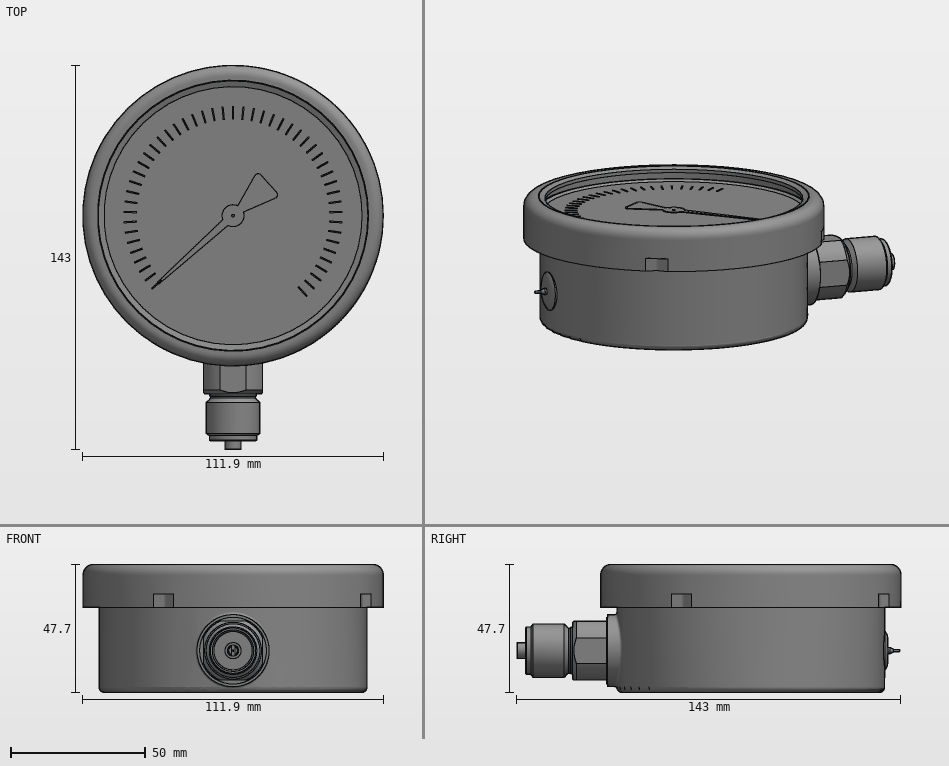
import cadquery as cq
import math


total_height = 47.7
bezel_height = 16.0
dial_depth = 5.6
dial_thickness = 1.5
dial_top = total_height - dial_depth
dial_bottom = dial_top - dial_thickness
bezel_bottom = total_height - bezel_height

case_radius = 49.9
case_fillet = 2.0
axis_height = 15.6
boss_radius = 13.5
boss_fillet = 0.9
boss_end = 53.3

bezel_radius = 55.96
bezel_fillet = 4.0
mouth_radius = 50.5
notch_count = 4
notch_first_angle = 62.4
notch_width = 8.3
notch_height = 4.9
notch_floor_width = 0.6
notch_floor_radius = 54.6

ring_top_radius = 50.2
window_radius = 48.0
ring_cone_depth = 0.7
ring_height = 2.0

rim_foot_radius = 48.6
rim_top_radius = 49.9
rim_height = 0.7

tick_count = 50
tick_pitch_angle = 5.5
ticks_before_top = 25
tick_inner_radius = 36.0
tick_outer_radius = 40.6
tick_width = 0.5
tick_height = 0.1

pointer_angle = 90 + (tick_count - 1 - ticks_before_top) * tick_pitch_angle
pointer_thickness = 0.3
pointer_bottom = dial_top + tick_height
hub_radius = 4.07
pivot_hole_diameter = 0.99
needle_length = 37.5
needle_root_half_width = 1.6
needle_tip_half_width = 0.5
tail_length = 17.9
tail_root_half_width = 0.3
tail_end_half_width = 6.3
tail_corner_radius = 1.5

socket_depth = 4.3
socket_radius = 8.7
collar_radius = 12.5
collar_end = 53.7
wrench_radius = 12.0
wrench_flats = 22.0
wrench_end = 66.3
wrench_chamfer = 1.5
neck_radius = 8.7
neck_end = 67.0
groove_radius = 8.5
groove_start = 67.3
groove_end = 67.9
thread_radius = 10.0
runout_start = 68.3
thread_start = 69.5
thread_end = 81.0
nose_radius = 8.9
nose_start = 81.9
nose_end = 83.9
nose_chamfer = 0.5
face_rim_radius = 7.7
face_recess_radius = 7.1
face_recess_depth = 0.6
tip_radius = 3.0
connector_end = 143 - bezel_radius

screw_radius = 2.07
screw_length = 4.3
screw_chamfer = 0.5
slot_width = 1.3
slot_depth = 0.6
restrictor_bore = 0.5

plug_stem_radius = 5.5
plug_stem_depth = 2.1
plug_floor = case_radius - plug_stem_depth
plug_cap_radius = 7.22
plug_cap_edge = 50.0
plug_face_radius = 4.3
plug_face = 51.0
plug_dome_mid_radius = 6.3
plug_dome_mid = 50.6
nipple_base_radius = 1.22
nipple_base_end = 51.7
nipple_radius = 0.5
nipple_flare_end = 53.2
nipple_end = 55.5


def side_plane(direction):
    """Sketch plane containing the side axis: local x is the radius, local y runs along direction * Y."""
    return cq.Plane(origin=(0, 0, axis_height), xDir=(1, 0, 0), normal=(0, 0, direction))


def revolve_side(profile):
    """Turn a closed (radius, distance) profile about the side axis."""
    return profile.close().revolve(360, (0, 0), (0, 1))


def side_cylinder(direction, radius, start, end):
    """Cylinder on the side axis between two distances from the dial axis."""
    profile = cq.Workplane(side_plane(direction)).moveTo(0, start)
    return revolve_side(profile.lineTo(radius, start).lineTo(radius, end).lineTo(0, end))


CONNECTOR_SIDE = -1
PLUG_SIDE = 1


def make_case():
    """Solid case with a filleted boss for the connector and blind sockets for connector and plug."""
    body = cq.Workplane("XY").circle(case_radius).extrude(dial_bottom)
    body = body.faces("<Z").edges().fillet(case_fillet)
    boss = side_cylinder(CONNECTOR_SIDE, boss_radius, 0, boss_end)
    body = body.union(boss)
    boss_seam = cq.selectors.BoxSelector(
        (-case_radius, -case_radius - 0.1, 0.1), (case_radius, -case_radius / 2, dial_bottom - 0.1)
    )
    body = body.edges(boss_seam).edges("not %CIRCLE").edges("not %LINE").fillet(boss_fillet)
    socket = side_cylinder(CONNECTOR_SIDE, socket_radius, boss_end - socket_depth, boss_end)
    plug_hole = side_cylinder(PLUG_SIDE, plug_stem_radius, plug_floor, case_radius)
    return body.cut(socket).cut(plug_hole)


def make_bezel():
    """Ring around the case top with a rounded rim, a stepped bore and V notches in its lower edge."""
    bezel = cq.Workplane("XY").workplane(offset=bezel_bottom).circle(bezel_radius).extrude(bezel_height)
    bezel = bezel.faces(">Z").edges().fillet(bezel_fillet)
    case_bore = cq.Workplane("XY").workplane(offset=bezel_bottom).circle(case_radius).extrude(bezel_height)
    mouth = cq.Workplane("XY").workplane(offset=dial_bottom).circle(mouth_radius).extrude(bezel_height)
    bezel = bezel.cut(case_bore).cut(mouth)

    rim_flat = math.sqrt(bezel_radius**2 - (notch_width / 2) ** 2)
    notch = (
        cq.Workplane("XY")
        .workplane(offset=bezel_bottom)
        .polyline(
            [
                (notch_floor_radius, -notch_floor_width / 2),
                (rim_flat, -notch_width / 2),
                (bezel_radius + 1.5, -notch_width / 2),
                (bezel_radius + 1.5, notch_width / 2),
                (rim_flat, notch_width / 2),
                (notch_floor_radius, notch_floor_width / 2),
            ]
        )
        .close()
        .extrude(notch_height)
    )
    for index in range(notch_count):
        angle = notch_first_angle + index * 360 / notch_count
        bezel = bezel.cut(notch.rotate((0, 0, 0), (0, 0, 1), angle))
    return bezel


def make_retaining_ring():
    """Ring flush with the bezel rim, sloping down to the window."""
    return (
        cq.Workplane("XZ")
        .moveTo(mouth_radius, total_height)
        .lineTo(ring_top_radius, total_height)
        .lineTo(window_radius, total_height - ring_cone_depth)
        .lineTo(window_radius, total_height - ring_height)
        .lineTo(mouth_radius, total_height - ring_height)
        .close()
        .revolve(360, (0, 0), (0, 1))
    )


def make_dial():
    """Round dial plate with a sloping raised rim and raised graduation strokes."""
    dial = (
        cq.Workplane("XZ")
        .moveTo(0, dial_bottom)
        .lineTo(mouth_radius, dial_bottom)
        .lineTo(mouth_radius, dial_top + rim_height)
        .lineTo(rim_top_radius, dial_top + rim_height)
        .lineTo(rim_foot_radius, dial_top)
        .lineTo(0, dial_top)
        .close()
        .revolve(360, (0, 0), (0, 1))
    )
    tick_length = tick_outer_radius - tick_inner_radius
    tick = (
        cq.Workplane("XY")
        .workplane(offset=dial_top)
        .center((tick_inner_radius + tick_outer_radius) / 2, 0)
        .rect(tick_length, tick_width)
        .extrude(tick_height)
    )
    for index in range(tick_count):
        angle = 90 + (index - ticks_before_top) * tick_pitch_angle
        dial = dial.union(tick.rotate((0, 0, 0), (0, 0, 1), angle))
    return dial


def make_pointer():
    """Flat pointer resting on the strokes: a hub, a tapering needle along +X and a flared tail."""
    plate = cq.Workplane("XY").workplane(offset=pointer_bottom)
    needle = (
        plate.polyline(
            [
                (0, -needle_root_half_width),
                (needle_length, -needle_tip_half_width),
                (needle_length, needle_tip_half_width),
                (0, needle_root_half_width),
            ]
        )
        .close()
        .extrude(pointer_thickness)
    )
    tail = (
        plate.polyline(
            [
                (0, -tail_root_half_width),
                (-tail_length, -tail_end_half_width),
                (-tail_length, tail_end_half_width),
                (0, tail_root_half_width),
            ]
        )
        .close()
        .extrude(pointer_thickness)
        .edges("|Z and <X")
        .fillet(tail_corner_radius)
    )
    hub = plate.circle(hub_radius).extrude(pointer_thickness)
    pivot_hole = plate.circle(pivot_hole_diameter / 2).extrude(pointer_thickness)
    pointer = hub.union(needle).union(tail).cut(pivot_hole)
    return pointer.rotate((0, 0, 0), (0, 0, 1), pointer_angle)


def make_connector():
    """Turned connector with wrench flats, an undercut before the thread and a bored tip."""
    chamfered_wrench_radius = wrench_radius - wrench_chamfer
    shank = revolve_side(
        cq.Workplane(side_plane(CONNECTOR_SIDE))
        .moveTo(0, boss_end - socket_depth)
        .lineTo(socket_radius, boss_end - socket_depth)
        .lineTo(socket_radius, wrench_end)
        .lineTo(neck_radius, neck_end)
        .lineTo(groove_radius, groove_start)
        .lineTo(groove_radius, groove_end)
        .lineTo(neck_radius, runout_start)
        .lineTo(thread_radius, thread_start)
        .lineTo(thread_radius, thread_end)
        .lineTo(nose_radius, nose_start)
        .lineTo(nose_radius, nose_end - nose_chamfer)
        .lineTo(nose_radius - nose_chamfer, nose_end)
        .lineTo(face_rim_radius, nose_end)
        .lineTo(face_recess_radius, nose_end - face_recess_depth)
        .lineTo(tip_radius, nose_end - face_recess_depth)
        .lineTo(tip_radius, connector_end)
        .lineTo(0, connector_end)
    )
    collar = side_cylinder(CONNECTOR_SIDE, collar_radius, boss_end, collar_end)
    wrench = revolve_side(
        cq.Workplane(side_plane(CONNECTOR_SIDE))
        .moveTo(0, collar_end)
        .lineTo(wrench_radius, collar_end)
        .lineTo(wrench_radius, wrench_end - wrench_chamfer)
        .lineTo(chamfered_wrench_radius, wrench_end)
        .lineTo(0, wrench_end)
    )
    flats = cq.Workplane("XZ", origin=(0, 0, axis_height)).rect(wrench_flats, wrench_flats).extrude(wrench_end)
    connector = shank.union(collar).union(wrench.intersect(flats))
    screw_hole = side_cylinder(CONNECTOR_SIDE, screw_radius, connector_end - screw_length, connector_end)
    return connector.cut(screw_hole)


def make_screw():
    """Restrictor screw flush with the connector tip, with an upright slot and a fine bore."""
    screw_start = connector_end - screw_length
    screw = revolve_side(
        cq.Workplane(side_plane(CONNECTOR_SIDE))
        .moveTo(0, screw_start)
        .lineTo(screw_radius, screw_start)
        .lineTo(screw_radius, connector_end - screw_chamfer)
        .lineTo(screw_radius - screw_chamfer, connector_end)
        .lineTo(0, connector_end)
    )
    slot = (
        cq.Workplane("XY")
        .box(slot_width, slot_depth, 2 * screw_radius)
        .translate((0, -connector_end + slot_depth / 2, axis_height))
    )
    bore = side_cylinder(CONNECTOR_SIDE, restrictor_bore / 2, screw_start, connector_end)
    return screw.cut(slot).cut(bore)


def make_plug():
    """Blow-out plug with a domed cap that hugs the case and a thin round-ended nipple."""
    cap = revolve_side(
        cq.Workplane(side_plane(PLUG_SIDE))
        .moveTo(0, plug_floor)
        .lineTo(plug_cap_radius, plug_floor)
        .lineTo(plug_cap_radius, plug_cap_edge)
        .threePointArc((plug_dome_mid_radius, plug_dome_mid), (plug_face_radius, plug_face))
        .lineTo(nipple_base_radius, plug_face)
        .lineTo(nipple_base_radius, nipple_base_end)
        .lineTo(nipple_radius, nipple_flare_end)
        .lineTo(nipple_radius, nipple_end - nipple_radius)
        .threePointArc(
            (nipple_radius * math.sin(math.pi / 4), nipple_end - nipple_radius * (1 - math.cos(math.pi / 4))),
            (0, nipple_end),
        )
    )
    case_wall = cq.Workplane("XY").circle(case_radius).extrude(dial_bottom)
    stem = side_cylinder(PLUG_SIDE, plug_stem_radius, plug_floor, plug_cap_edge)
    return cap.cut(case_wall).union(stem)


case = make_case()
bezel = make_bezel()
retaining_ring = make_retaining_ring()
dial = make_dial()
pointer = make_pointer()
connector = make_connector()
screw = make_screw()
plug = make_plug()

result = cq.Compound.makeCompound(
    [
        case.val(),
        bezel.val(),
        retaining_ring.val(),
        dial.val(),
        pointer.val(),
        connector.val(),
        screw.val(),
        plug.val(),
    ]
)